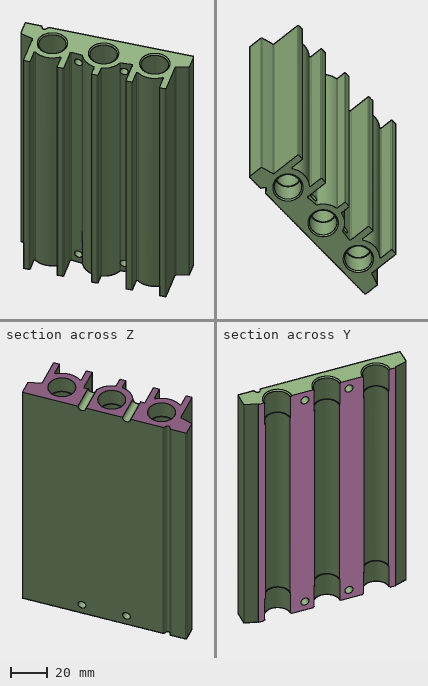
import cadquery as cq
import math

WIDTH = 95.6
DEPTH = 29.0
LENGTH = 156.0
BACK_Y = DEPTH / 2

SLAB_THICKNESS = 16.5
UNDERSIDE_RADIUS = 152.9

BORE_PITCH = 29.0
BORE_BACK_DISTANCE = 11.5
BORE_Y = BACK_Y - BORE_BACK_DISTANCE
BORE_XS = (-BORE_PITCH, 0.0, BORE_PITCH)
BORE_DIAMETER = 14.2
SOCKET_DIAMETER = 15.0
SOCKET_DEPTH = 15.6
COUNTERSINK_DIAMETER = 16.5
TUBE_RADIUS = 11.7

RIB_THICKNESS = 3.7
RIB_OFFSET = 9.5

GROOVE_X = -36.5
GROOVE_DIAMETER = 2.5
GROOVE_DEPTH = 2.2
GROOVE_WALL_TAPER = 28

MOUNT_DIAMETER = 4.5
MOUNT_X = 13.0
MOUNT_END_DISTANCE = 6.1

EDGE_ROUND = 0.5


def make_slab():
    """Full-width slab with a flat back and an arched underside."""
    half_width = WIDTH / 2
    lowest_y = BACK_Y - SLAB_THICKNESS
    arc_rise = UNDERSIDE_RADIUS - math.sqrt(UNDERSIDE_RADIUS**2 - half_width**2)
    wing_y = lowest_y + arc_rise
    return (
        cq.Workplane("XY")
        .moveTo(-half_width, BACK_Y)
        .lineTo(-half_width, wing_y)
        .threePointArc((0, lowest_y), (half_width, wing_y))
        .lineTo(half_width, BACK_Y)
        .close()
        .extrude(LENGTH)
    )


def make_rib(x):
    """Rib running from the back face, through the slab, to the common tip plane."""
    return cq.Workplane("XY").center(x, 0).rect(RIB_THICKNESS, DEPTH).extrude(LENGTH)


def make_tube(x):
    """Front half of a tube wall, as a solid, no wider than a pair of ribs."""
    half_width = RIB_OFFSET + RIB_THICKNESS / 2
    side_y = BORE_Y - math.sqrt(TUBE_RADIUS**2 - half_width**2)
    return (
        cq.Workplane("XY", origin=(x, 0, 0))
        .moveTo(-half_width, BORE_Y)
        .lineTo(-half_width, side_y)
        .threePointArc((0, BORE_Y - TUBE_RADIUS), (half_width, side_y))
        .lineTo(half_width, BORE_Y)
        .close()
        .extrude(LENGTH)
    )


def make_profile():
    """Solid extrusion with every lengthwise edge rounded."""
    bar = make_slab()
    for x in BORE_XS:
        bar = bar.union(make_tube(x))
        rib_xs = (x,) if x == 0 else (x - RIB_OFFSET, x + RIB_OFFSET)
        for rib_x in rib_xs:
            bar = bar.union(make_rib(rib_x))
    bar = bar.cut(make_groove())
    return bar.edges("|Z").fillet(EDGE_ROUND)


def make_groove():
    """Tapered groove open to the back face, its walls tangent to a round bottom."""
    radius = GROOVE_DIAMETER / 2
    taper = math.radians(GROOVE_WALL_TAPER)
    bottom_y = BACK_Y - GROOVE_DEPTH
    tangent_x = radius * math.cos(taper)
    tangent_y = bottom_y + radius * (1 - math.sin(taper))
    mouth_x = tangent_x + (BACK_Y - tangent_y) * math.tan(taper)
    return (
        cq.Workplane("XY", origin=(GROOVE_X, 0, 0))
        .moveTo(-mouth_x, BACK_Y)
        .lineTo(-tangent_x, tangent_y)
        .threePointArc((0, bottom_y), (tangent_x, tangent_y))
        .lineTo(mouth_x, BACK_Y)
        .close()
        .extrude(LENGTH)
    )


def make_bore(x):
    """Through bore with a countersunk socket at each end, revolved about its axis."""
    bore_radius = BORE_DIAMETER / 2
    socket_radius = SOCKET_DIAMETER / 2
    mouth_radius = COUNTERSINK_DIAMETER / 2
    countersink_depth = mouth_radius - socket_radius
    return (
        cq.Workplane("XZ", origin=(x, BORE_Y, 0))
        .moveTo(0, 0)
        .lineTo(mouth_radius, 0)
        .lineTo(socket_radius, countersink_depth)
        .lineTo(socket_radius, SOCKET_DEPTH)
        .lineTo(bore_radius, SOCKET_DEPTH)
        .lineTo(bore_radius, LENGTH - SOCKET_DEPTH)
        .lineTo(socket_radius, LENGTH - SOCKET_DEPTH)
        .lineTo(socket_radius, LENGTH - countersink_depth)
        .lineTo(mouth_radius, LENGTH)
        .lineTo(0, LENGTH)
        .close()
        .revolve(360, (0, 0, 0), (0, 1, 0))
    )


def make_mount_holes():
    """Four through holes, a pair near each end of the bar."""
    hole_spacing_z = LENGTH - 2 * MOUNT_END_DISTANCE
    return (
        cq.Workplane("XZ", origin=(0, BACK_Y, LENGTH / 2))
        .rarray(2 * MOUNT_X, hole_spacing_z, 2, 2)
        .circle(MOUNT_DIAMETER / 2)
        .extrude(DEPTH)
    )


result = make_profile()
for bore_x in BORE_XS:
    result = result.cut(make_bore(bore_x))
result = result.cut(make_mount_holes())